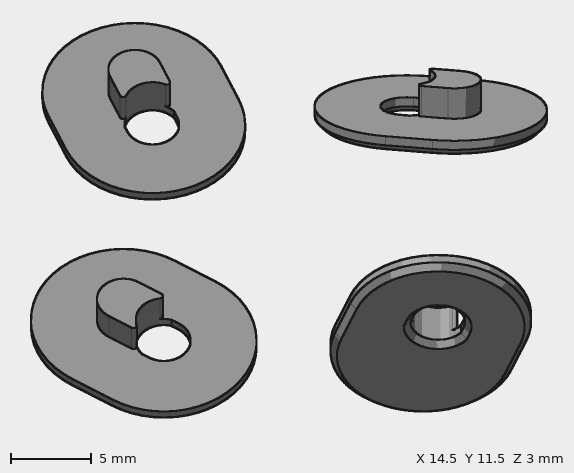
import cadquery as cq

length = 14.5
width = 11.5
plate_thickness = 1.0
bottom_chamfer = 0.4
boss_height = 2.0
slot_width = 3.3
hole_radius = 1.74
tip_radius = 0.2

center_spacing = length - width
hole_center_x = center_spacing / 2


def obround(across, height):
    """Obround prism around the two shared centers, standing on Z = 0."""
    return cq.Workplane("XY").slot2D(center_spacing + across, across).extrude(height)


def hole_cylinder(height):
    """Full round cylinder at the hole center, standing on Z = 0."""
    return cq.Workplane("XY").center(hole_center_x, 0).circle(hole_radius).extrude(height)


def make_plate():
    """Obround plate with a flat-sided hole, both chamfered at the bottom."""
    plate = obround(width, plate_thickness)
    hole = hole_cylinder(plate_thickness).intersect(obround(slot_width, plate_thickness))
    return plate.cut(hole).faces("<Z").chamfer(bottom_chamfer)


def make_boss():
    """Boss rounded on the left and scooped by the hole, with two rounded horns."""
    left_part = cq.Workplane("XY").box(
        length, width, boss_height, centered=(True, True, False)
    ).translate((hole_center_x - length / 2, 0, 0))
    boss = obround(slot_width, boss_height).intersect(left_part)
    boss = boss.cut(hole_cylinder(boss_height))
    boss = boss.edges("|Z and >X").fillet(tip_radius)
    return boss.translate((0, 0, plate_thickness))


result = make_plate().union(make_boss())